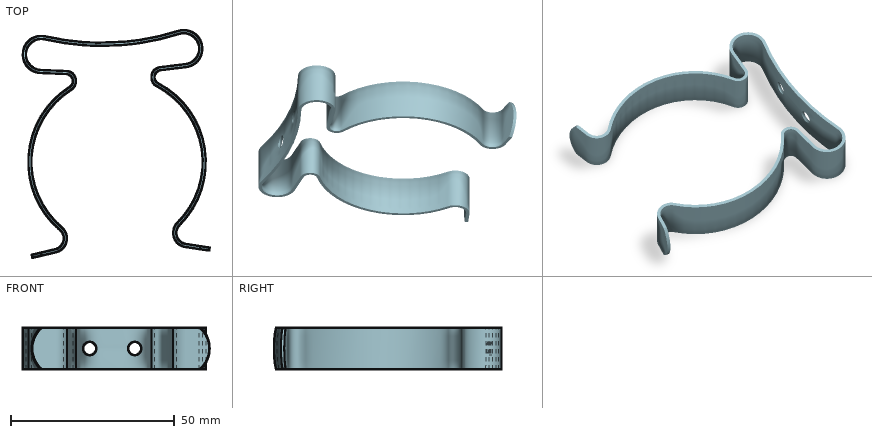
import cadquery as cq
import math

THICKNESS = 1.0
WIDTH = 12.8

GRIP_RADIUS = 26.7
FOOT_RADIUS = 3.9
NECK_RADIUS = 2.63
LOOP_RADIUS = 5.22
BACK_RADIUS = 77.0

NECK_ANGLE = 60.0
FOOT_ANGLE = -47.5
LOOP_X = 21.81
LOOP_Y = 33.85
LIP_ANGLE = -11.0
LIP_LENGTH = 7.42
LIP_TIP_RADIUS = 8.4
CLIP_TILT = 2.33

HOLE_DIAMETER = 4.0
HOLE_SPACING = 13.8
HOLE_DRILL_REACH = 3.0

CCW = 1
CW = -1


def polar(centre, radius, angle):
    """Point at a distance and an angle in degrees from a centre."""
    a = math.radians(angle)
    return (centre[0] + radius * math.cos(a), centre[1] + radius * math.sin(a))


def direction(start, end):
    """Angle in degrees of the line from start to end."""
    return math.degrees(math.atan2(end[1] - start[1], end[0] - start[0]))


GRIP = (0.0, 0.0)
FOOT = polar(GRIP, GRIP_RADIUS + FOOT_RADIUS, FOOT_ANGLE)
NECK = polar(GRIP, GRIP_RADIUS + NECK_RADIUS, NECK_ANGLE)
LOOP = (LOOP_X, LOOP_Y)
BACK = (0.0, LOOP_Y + math.sqrt((BACK_RADIUS + LOOP_RADIUS) ** 2 - LOOP_X ** 2))

STRAIGHT_ANGLE = direction(LOOP, NECK) + math.degrees(
    math.acos((LOOP_RADIUS + NECK_RADIUS) / math.dist(LOOP, NECK))
)
LIP_NORMAL = LIP_ANGLE - 90.0

BENDS = [
    (BACK, BACK_RADIUS, CCW, -90.0, direction(BACK, LOOP)),
    (LOOP, LOOP_RADIUS, CW, direction(LOOP, BACK), STRAIGHT_ANGLE),
    (NECK, NECK_RADIUS, CCW, STRAIGHT_ANGLE + 180.0, NECK_ANGLE + 180.0),
    (GRIP, GRIP_RADIUS, CW, NECK_ANGLE, FOOT_ANGLE),
    (FOOT, FOOT_RADIUS, CCW, FOOT_ANGLE + 180.0, LIP_NORMAL + 360.0),
]


def side_arcs(offset):
    """Start, middle and end of each bend on the strip face lying `offset` left of the middle line."""
    arcs = []
    for centre, radius, sense, start, end in BENDS:
        face_radius = radius - sense * offset
        angles = (start, (start + end) / 2, end)
        arcs.append([polar(centre, face_radius, angle) for angle in angles])
    return arcs


def half_strip():
    """The +X half of the bent strip, with a square lip end."""
    left = side_arcs(THICKNESS / 2)
    right = side_arcs(-THICKNESS / 2)
    left_tip = polar(left[-1][2], LIP_LENGTH, LIP_ANGLE)
    right_tip = polar(right[-1][2], LIP_LENGTH, LIP_ANGLE)

    profile = cq.Workplane("XY", origin=(0, 0, -WIDTH / 2)).moveTo(*left[0][0])
    for bend, (start, middle, end) in zip(BENDS, left):
        if bend[0] == NECK:
            profile = profile.lineTo(*start)
        profile = profile.threePointArc(middle, end)
    profile = profile.lineTo(*left_tip).lineTo(*right_tip).lineTo(*right[-1][2])
    for bend, (start, middle, end) in zip(reversed(BENDS), reversed(right)):
        if bend[0] == LOOP:
            profile = profile.lineTo(*end)
        profile = profile.threePointArc(middle, start)
    return profile.close().extrude(WIDTH)


def lip_end_waste():
    """Material outside the rounded lip end, cut square to the lip face."""
    lip_start = polar(FOOT, FOOT_RADIUS, LIP_NORMAL)
    normal = polar((0.0, 0.0), 1.0, LIP_NORMAL)
    along = polar((0.0, 0.0), 1.0, LIP_ANGLE)
    lip_plane = cq.Plane(origin=(*lip_start, 0.0), xDir=(*along, 0.0), normal=(*normal, 0.0))
    half_width = WIDTH / 2
    tip_depth = LIP_TIP_RADIUS - math.sqrt(LIP_TIP_RADIUS ** 2 - half_width ** 2)
    corner = LIP_LENGTH - tip_depth
    return (
        cq.Workplane(lip_plane)
        .moveTo(corner, -half_width)
        .threePointArc((LIP_LENGTH, 0.0), (corner, half_width))
        .lineTo(LIP_LENGTH + THICKNESS, half_width)
        .lineTo(LIP_LENGTH + THICKNESS, -half_width)
        .close()
        .extrude(THICKNESS, both=True)
    )


def mounting_holes():
    """Two drills running along Y through the back only."""
    back_y = BACK[1] - BACK_RADIUS
    return (
        cq.Workplane("XZ", origin=(0, back_y, 0))
        .pushPoints([(-HOLE_SPACING / 2, 0), (HOLE_SPACING / 2, 0)])
        .circle(HOLE_DIAMETER / 2)
        .extrude(HOLE_DRILL_REACH, both=True)
    )


half_clip = half_strip().cut(lip_end_waste())
clip = half_clip.union(half_clip.mirror("YZ")).cut(mounting_holes())
result = clip.rotate((0, 0, 0), (0, 0, 1), CLIP_TILT)